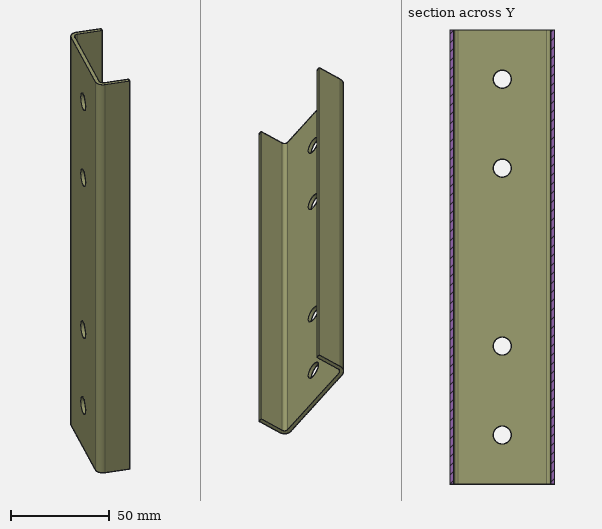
import cadquery as cq

width = 53.0
depth = 17.0
length = 230.0

thickness = 2.0
inner_bend_radius = 2.0
outer_bend_radius = inner_bend_radius + thickness

hole_diameter = 9.0
end_hole_offset = 25.0
pair_pitch = 45.0


def bent_block(block_width, front_y, bend_radius):
    """Full-length block from front_y to the open side, with its two front edges rounded."""
    block_depth = depth - front_y
    return (
        cq.Workplane("XY")
        .rect(block_width, block_depth)
        .extrude(length)
        .edges("|Z and <Y")
        .fillet(bend_radius)
        .translate((0, front_y + block_depth / 2, 0))
    )


def make_channel():
    """U-shaped channel, open towards +Y."""
    outside = bent_block(width, 0, outer_bend_radius)
    inside = bent_block(width - 2 * thickness, thickness, inner_bend_radius)
    return outside.cut(inside)


def web_hole(height):
    """Cylinder along Y through the web, on the channel's centre plane."""
    return cq.Workplane("XZ").center(0, height).circle(hole_diameter / 2).extrude(-thickness)


result = make_channel()
for end_distance in (end_hole_offset, end_hole_offset + pair_pitch):
    for hole_height in (end_distance, length - end_distance):
        result = result.cut(web_hole(hole_height))